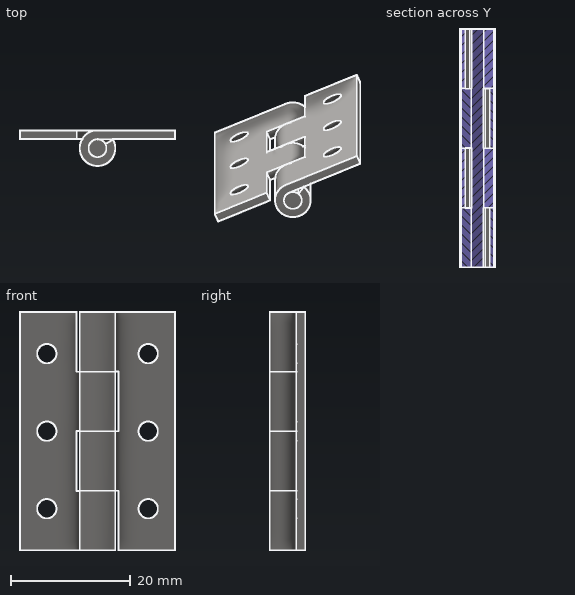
import cadquery as cq
import math


hinge_height = 40.0
hinge_width = 26.0
knuckle_count = 4
knuckle_height = hinge_height / knuckle_count

leaf_thickness = 1.5
pin_radius = 1.5
barrel_radius = pin_radius + leaf_thickness
roll_end_angle = 28.5
roll_middle_angle = 225.0

knuckle_clearance = 0.5
leaf_inner_edge = barrel_radius + knuckle_clearance

screw_hole_diameter = 3.2
screw_hole_offset = 8.5
screw_hole_pitch = 13.0
screw_hole_rows = (-1, 0, 1)


def polar(radius, degrees):
    """Point at the given radius and angle around the pin axis."""
    angle = math.radians(degrees)
    return (radius * math.cos(angle), radius * math.sin(angle))


def make_leaf_plate():
    """Flat of the right-hand leaf, clear of the barrel over its full height."""
    return cq.Workplane("XY").box(
        hinge_width / 2 - leaf_inner_edge,
        leaf_thickness,
        hinge_height,
        centered=False,
    ).translate((leaf_inner_edge, pin_radius, -hinge_height / 2))


def make_knuckle(bottom):
    """One rolled knuckle with the short flat that joins it to the leaf plate."""
    return (
        cq.Workplane("XY")
        .workplane(offset=bottom)
        .moveTo(leaf_inner_edge, barrel_radius)
        .lineTo(0, barrel_radius)
        .threePointArc(polar(barrel_radius, roll_middle_angle), polar(barrel_radius, roll_end_angle))
        .lineTo(*polar(pin_radius, roll_end_angle))
        .threePointArc(polar(pin_radius, roll_middle_angle), (0, pin_radius))
        .lineTo(leaf_inner_edge, pin_radius)
        .close()
        .extrude(knuckle_height)
    )


def make_screw_holes():
    """Cylinders to cut from the right-hand leaf, one per screw."""
    centers = [(screw_hole_offset, row * screw_hole_pitch) for row in screw_hole_rows]
    return (
        cq.Workplane("XZ")
        .pushPoints(centers)
        .circle(screw_hole_diameter / 2)
        .extrude(-barrel_radius)
    )


def make_right_leaf():
    """Right-hand leaf, with the top knuckle and every second one below it."""
    leaf = make_leaf_plate()
    for index in range(1, knuckle_count, 2):
        leaf = leaf.union(make_knuckle(-hinge_height / 2 + index * knuckle_height))
    return leaf.cut(make_screw_holes()).clean()


def make_left_leaf():
    """The same leaf turned end for end about the Y axis, so its knuckles fill the gaps."""
    return make_right_leaf().rotate((0, 0, 0), (0, 1, 0), 180)


def make_pin():
    """Plain pin, flush with both ends of the barrel."""
    return cq.Workplane("XY").circle(pin_radius).extrude(hinge_height / 2, both=True)


right_leaf = make_right_leaf()
left_leaf = make_left_leaf()
pin = make_pin()

result = cq.Compound.makeCompound([right_leaf.val(), left_leaf.val(), pin.val()])